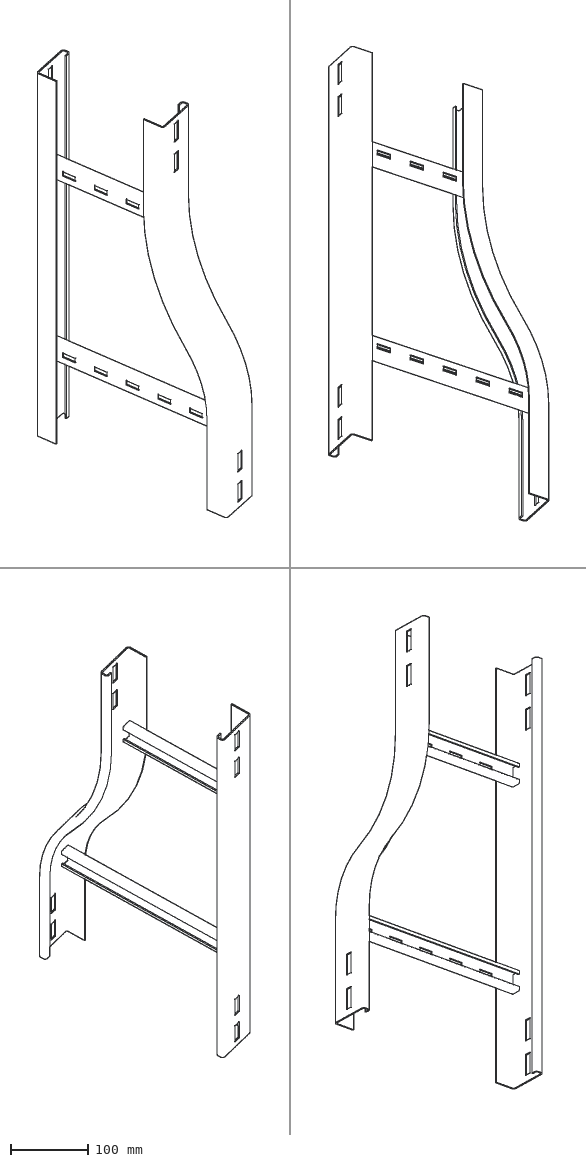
import cadquery as cq
import math

length = 600.0
wide_width = length / 2
narrow_width = length / 3
depth = 60.0

sheet = 2.0
flange_width = 31.0
hook_width = 12.0
hook_drop = 9.0
rail_bend = 3.9

bend_start = length / 4
bend_end = length - bend_start
upper_radius = length / 2
lower_radius = length / 3

rail_slot_length = 30.0
rail_slot_width = 9.0
slot_to_end = length / 24
rail_slot_pitch = length / 12

rung_width = 30.0
rung_depth = 15.0
rung_lip = 6.0
rung_bend = 2.1
rung_clearance = length / 120

wide_rung_slots = 5
narrow_rung_slots = 3
rung_slot_length = length / 30
rung_slot_width = 7.0
rung_slot_pitch = length / 12


def bent_sheet(corners, outer_radius):
    """Section face of a bent sheet with its outer side through corners and its body on their right."""
    directions = [(b - a).normalized() for a, b in zip(corners, corners[1:])]
    inward = [cq.Vector(d.y, -d.x) * sheet for d in directions]
    inner = [corners[0] + inward[0]]
    inner += [c + a + b for c, a, b in zip(corners[1:-1], inward, inward[1:])]
    inner.append(corners[-1] + inward[-1])
    outline = cq.Wire.makePolygon(corners + inner[::-1], close=True)
    for bends, radius in ((corners[1:-1], outer_radius), (inner[1:-1], outer_radius - sheet)):
        for bend in bends:
            nearest = min(outline.Vertices(), key=lambda v: (v.Center() - bend).Length)
            outline = outline.fillet2D(radius, [nearest])
    return cq.Face.makeFromWires(outline)


def rail_section():
    """Rail section with the outer face of its web at X = 0 and its flanges towards +X."""
    return bent_sheet(
        [
            cq.Vector(flange_width, 0),
            cq.Vector(0, 0),
            cq.Vector(0, depth),
            cq.Vector(hook_width, depth),
            cq.Vector(hook_width, depth - hook_drop),
        ],
        rail_bend,
    )


def rail_slots():
    """Cutters for the web slots of both rails, running across the whole tray."""
    near_end = [slot_to_end, slot_to_end + rail_slot_pitch]
    heights = near_end + [length - z for z in near_end]
    return (
        cq.Workplane("YZ")
        .pushPoints([(depth / 2, z) for z in heights])
        .rect(rail_slot_width, rail_slot_length)
        .extrude(wide_width)
    )


def make_straight_rail():
    return cq.Workplane(rail_section()).wires().toPending().extrude(length).cut(rail_slots())


def make_curved_rail():
    """Rail that steps from the wide end at Z = 0 in to the narrow end."""
    turn = math.acos(1 - (wide_width - narrow_width) / (upper_radius + lower_radius))
    middle_x = wide_width - lower_radius * (1 - math.cos(turn))
    middle_z = bend_start + lower_radius * math.sin(turn)
    path = (
        cq.Workplane("XZ")
        .moveTo(wide_width, 0)
        .lineTo(wide_width, bend_start)
        .radiusArc((middle_x, middle_z), -lower_radius)
        .radiusArc((narrow_width, bend_end), upper_radius)
        .lineTo(narrow_width, length)
    )
    section = rail_section().mirror("YZ").translate(cq.Vector(wide_width, 0, 0))
    return cq.Workplane(section).wires().toPending().sweep(path).cut(rail_slots())


def make_rung(tray_width, height, slot_count):
    """Rung centred on Z = height, between rails whose webs stand tray_width apart."""
    half_width = rung_width / 2
    lip_edge = half_width - rung_lip
    section = bent_sheet(
        [
            cq.Vector(rung_depth, -lip_edge),
            cq.Vector(rung_depth, -half_width),
            cq.Vector(0, -half_width),
            cq.Vector(0, half_width),
            cq.Vector(rung_depth, half_width),
            cq.Vector(rung_depth, lip_edge),
        ],
        rung_bend,
    )
    channel = (
        cq.Workplane(section)
        .wires()
        .toPending()
        .extrude(tray_width - 2 * rung_clearance)
        .rotate((0, 0, 0), (1, 1, 1), 360 / 3)
        .translate((rung_clearance, sheet, height))
    )
    slots = (
        cq.Workplane("XZ")
        .pushPoints([(rung_slot_pitch * (i + 1), height) for i in range(slot_count)])
        .rect(rung_slot_length, rung_slot_width)
        .extrude(-rung_depth)
    )
    return channel.cut(slots)


straight_rail = make_straight_rail()
curved_rail = make_curved_rail()

rung_places = [
    (wide_width, bend_start, wide_rung_slots),
    (narrow_width, bend_end, narrow_rung_slots),
]
rungs = [make_rung(*place) for place in rung_places]

result = cq.Compound.makeCompound(
    [straight_rail.val(), curved_rail.val(), *[rung.val() for rung in rungs]]
)